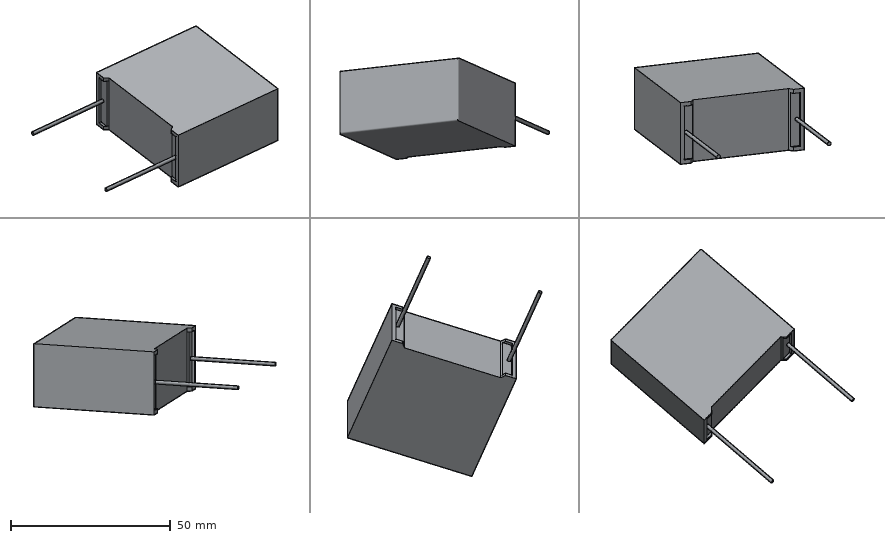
import cadquery as cq

total_length = 67.1
case_width = 41.8
case_height = 20.3
case_length = 40.0
rear_rounding = 0.5

foot_width = 3.6
slope_run = 1.15
relief_depth = 1.35

wall = 1.35
filling_recess = 0.8

lead_diameter = 1.2
lead_spacing = 37.4

rear_y = total_length / 2
foot_y = rear_y - case_length
lead_tip_y = -total_length / 2
filling_y = foot_y + filling_recess
half_width = case_width / 2
foot_inner_x = half_width - foot_width
relief_inner_x = foot_inner_x - slope_run
cavity_half_width = half_width - wall
cavity_height = case_height - 2 * wall
cavity_front_y = foot_y + relief_depth + wall
cavity_rear_y = rear_y - wall
window_inner_x = foot_inner_x - slope_run * filling_recess / relief_depth
sides = (-1, 1)


def extrude_outline(outline, height):
    """Closed outline in plan, extruded equally above and below the middle plane."""
    return cq.Workplane("XY").polyline(outline).close().extrude(height / 2, both=True)


def make_core(window_front_y):
    """Block filling the case cavity, with an arm through each window up to window_front_y."""
    outline = [
        (-cavity_half_width, cavity_rear_y),
        (-cavity_half_width, window_front_y),
        (-window_inner_x, window_front_y),
        (-window_inner_x, cavity_front_y),
        (window_inner_x, cavity_front_y),
        (window_inner_x, window_front_y),
        (cavity_half_width, window_front_y),
        (cavity_half_width, cavity_rear_y),
    ]
    return extrude_outline(outline, cavity_height)


def make_case():
    """Hollow case with two feet, rounded rear edges and an open window in each foot."""
    outline = [
        (-half_width, rear_y),
        (-half_width, foot_y),
        (-foot_inner_x, foot_y),
        (-relief_inner_x, foot_y + relief_depth),
        (relief_inner_x, foot_y + relief_depth),
        (foot_inner_x, foot_y),
        (half_width, foot_y),
        (half_width, rear_y),
    ]
    block = extrude_outline(outline, case_height)
    block = block.faces(">Y").edges().fillet(rear_rounding)
    return block.cut(make_core(foot_y))


def make_filling():
    """Filling of the cavity, set back from the feet by the recess."""
    return make_core(filling_y)


def make_lead(side):
    """Straight round lead standing on the filling in one foot window."""
    lead_length = filling_y - lead_tip_y
    lead = cq.Workplane("XZ").circle(lead_diameter / 2).extrude(lead_length)
    return lead.translate((side * lead_spacing / 2, filling_y, 0))


case = make_case()
filling = make_filling()
leads = [make_lead(side) for side in sides]

result = cq.Compound.makeCompound([case.val(), filling.val(), *[lead.val() for lead in leads]])